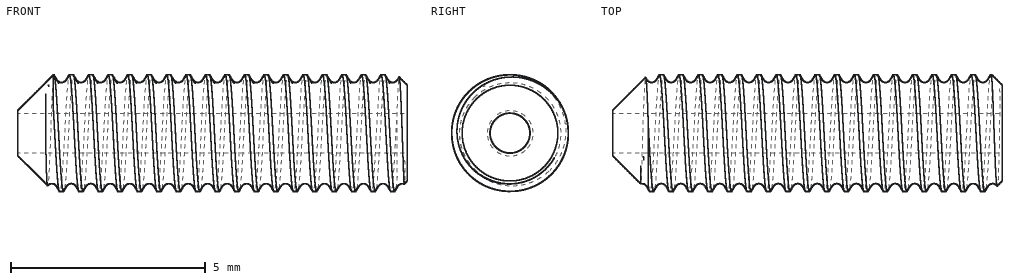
import cadquery as cq
import math

length = 10.0
major_radius = 1.5
pitch = 0.5
flank_half_angle = math.radians(30)
crest_width = pitch / 5
thread_depth = 0.2
first_crest_x = 1.0
tip_radius = 0.585
end_radius = 1.23
bore_radius = 0.51
cutter_clearance = 0.01
lead_in_turns = 2
run_out_turns = 1

cone_length = major_radius - tip_radius
end_chamfer = major_radius - end_radius

flank_slope = math.tan(flank_half_angle)
flank_apex_radius = major_radius - (pitch - crest_width) / 2 / flank_slope
thread_root_radius = major_radius - thread_depth
groove_round = (thread_root_radius - flank_apex_radius) / (1 / math.sin(flank_half_angle) - 1)
tangent_radius = thread_root_radius + groove_round * (1 - math.sin(flank_half_angle))
half_root = groove_round * math.cos(flank_half_angle)
cutter_radius = major_radius + cutter_clearance
half_mouth = (cutter_radius - flank_apex_radius) * flank_slope


def make_blank():
    """Solid of revolution with a cone point and a chamfered rear end."""
    profile = (
        cq.Workplane("XY")
        .lineTo(0, tip_radius)
        .lineTo(cone_length, major_radius)
        .lineTo(length - end_chamfer, major_radius)
        .lineTo(length, end_radius)
        .lineTo(length, 0)
        .close()
    )
    return profile.revolve(360, (0, 0, 0), (1, 0, 0))


def make_groove():
    """Right-hand helical cutter with straight flanks and a round root, running past both ends."""
    groove_start = first_crest_x - (lead_in_turns + 0.5) * pitch
    turns = math.ceil((length - groove_start) / pitch) + run_out_turns
    section = (
        cq.Workplane("XZ")
        .moveTo(cutter_radius, -half_mouth)
        .lineTo(tangent_radius, -half_root)
        .threePointArc((thread_root_radius, 0), (tangent_radius, half_root))
        .lineTo(cutter_radius, half_mouth)
        .close()
    )

    one_turn = cq.Wire.makeHelix(pitch, pitch, thread_root_radius)
    edges = []
    for turn in range(turns):
        edges += one_turn.translate(cq.Vector(0, 0, turn * pitch)).Edges()
    helix = cq.Wire.assembleEdges(edges)
    groove = section.sweep(cq.Workplane(helix), isFrenet=True)

    groove = groove.rotate((0, 0, 0), (0, 0, 1), -90)
    groove = groove.rotate((0, 0, 0), (0, 1, 0), 90)
    return groove.translate((groove_start, 0, 0))


def make_bore():
    """Plain axial hole through the whole screw."""
    return cq.Workplane("YZ").circle(bore_radius).extrude(length)


result = make_blank().cut(make_bore()).cut(make_groove())